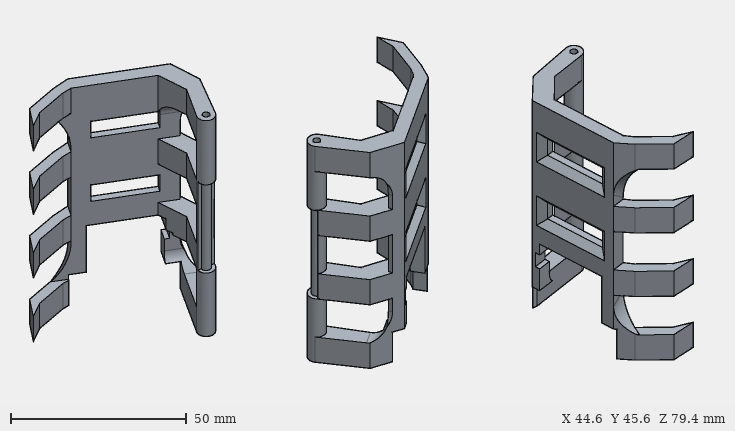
import cadquery as cq
import math

TOTAL_HEIGHT = 79.4
RING_HEIGHT = 9.3
RING_COUNT = 4
RING_PITCH = (TOTAL_HEIGHT - RING_HEIGHT) / (RING_COUNT - 1)
GAP_HEIGHT = RING_PITCH - RING_HEIGHT
REACH = 100.0
CLEARANCE = 1.0

TIP = (5.5, 0.0)
HOOK_OUTER_LOW = (0.0, 5.6)
HOOK_OUTER_HIGH = (0.0, 16.7)
PLATE_OUTER_LOW = (0.7, 22.7)
PLATE_OUTER_HIGH = (20.0, 45.59)
ARM_OUTER = (30.8, 45.2)
ARM_INNER = (30.64, 39.1)
HOOK_INNER_HIGH = (3.4, 16.8)
HOOK_INNER_LOW = (3.4, 5.8)
PLATE_THICKNESS = 4.3
PLATE_INNER_START = 0.0
PLATE_INNER_END = 25.4

HINGE_CENTRE = (41.77, 33.45)
KNUCKLE_RADIUS = 2.78
LOWER_KNUCKLE_TOP = RING_PITCH
UPPER_KNUCKLE_BOTTOM = 55.8
PIN_RADIUS = 1.6
HINGE_HOLE_RADIUS = 1.1
HINGE_CUT_ANGLE = 69.0

PLATE_FILLET = 5.2
ARM_FILLET = 9.0
HOOK_FILLET = 14.8
HOOK_FILLET_GROWTH = 0.85
HOOK_FILLET_OVERRUN = 4.9
FILLET_SPAN = 12.0

WINDOW_START = 3.35
WINDOW_LENGTH = 25.0
WINDOW_HEIGHT = 10.85
WINDOW_TAPER = 2.43
WINDOW_TAPER_DEPTH = 2.0

SLOT_START = 4.45
SLOT_END = 27.2
SLOT_TOP = 28.0
NOTCH_DEPTH = 1.55
NOTCH_BOTTOM = 18.9
NOTCH_TOP = 24.0
FOOT_CUT_TOP = 10.9
FOOT_CUT_START = -0.73
END_FACE_ANGLE = 121.0


def direction(angle):
    """Unit vector in plan at an angle in degrees from +X."""
    return (math.cos(math.radians(angle)), math.sin(math.radians(angle)))


def along(point, step, distance):
    """Point at a distance from another along a unit vector in plan."""
    return (point[0] + step[0] * distance, point[1] + step[1] * distance)


def angle_between(start, end):
    """Direction in degrees from one plan point to another."""
    return math.degrees(math.atan2(end[1] - start[1], end[0] - start[0]))


PLATE_ANGLE = angle_between(PLATE_OUTER_LOW, PLATE_OUTER_HIGH)
PLATE_ALONG = direction(PLATE_ANGLE)
PLATE_INWARD = direction(PLATE_ANGLE - 90)


def plate_point(distance, depth):
    """Plan point at a distance along the plate and a depth below its outer face."""
    return along(along(PLATE_OUTER_LOW, PLATE_ALONG, distance), PLATE_INWARD, depth)


def knuckle_tangent(point, side):
    """Where the tangent from a point touches the knuckle; side is +1 (outer) or -1 (inner)."""
    distance = math.dist(point, HINGE_CENTRE)
    spread = math.degrees(math.acos(KNUCKLE_RADIUS / distance))
    return along(HINGE_CENTRE, direction(angle_between(HINGE_CENTRE, point) - side * spread), KNUCKLE_RADIUS)


def plate_end_corner():
    """Where the inner faces of the plate and of the arm meet when both are extended."""
    arm = direction(angle_between(ARM_INNER, knuckle_tangent(ARM_INNER, -1)))
    start = plate_point(0, PLATE_THICKNESS)
    offset = (start[0] - ARM_INNER[0]) * PLATE_INWARD[0] + (start[1] - ARM_INNER[1]) * PLATE_INWARD[1]
    rate = arm[0] * PLATE_INWARD[0] + arm[1] * PLATE_INWARD[1]
    return along(ARM_INNER, arm, offset / rate)


PLATE_INNER_LOW = plate_point(PLATE_INNER_START, PLATE_THICKNESS)
PLATE_INNER_HIGH = plate_point(PLATE_INNER_END, PLATE_THICKNESS)
PLATE_END = plate_end_corner()
END_FACE = direction(END_FACE_ANGLE)


def cylinder(radius, bottom, top):
    """Upright cylinder on the hinge axis."""
    return cq.Workplane(origin=(*HINGE_CENTRE, bottom)).circle(radius).extrude(top - bottom)


def prism(points, bottom, top):
    """Upright prism over a plan outline."""
    return cq.Workplane(origin=(0, 0, bottom)).polyline(points).close().extrude(top - bottom)


def clip_body():
    """Full-height extrusion of the clip profile, before the gaps are cut."""
    profile = [
        TIP,
        HOOK_OUTER_LOW,
        HOOK_OUTER_HIGH,
        PLATE_OUTER_LOW,
        PLATE_OUTER_HIGH,
        ARM_OUTER,
        knuckle_tangent(ARM_OUTER, 1),
        HINGE_CENTRE,
        knuckle_tangent(ARM_INNER, -1),
        ARM_INNER,
        PLATE_INNER_HIGH,
        PLATE_INNER_LOW,
        HOOK_INNER_HIGH,
        HOOK_INNER_LOW,
    ]
    return prism(profile, 0, TOTAL_HEIGHT)


def fillet_profile(plane, up, radius):
    """Corner between a vertical face (local Y) and a ring face (local X), filled to a radius."""
    middle = radius * (1 - math.sqrt(0.5))
    return (
        cq.Workplane(plane)
        .moveTo(-radius, -up * radius)
        .lineTo(0, -up * radius)
        .threePointArc((middle, -up * middle), (radius, 0))
        .lineTo(radius, up * radius)
        .lineTo(-radius, up * radius)
        .close()
        .wire()
        .val()
    )


def gap_cut(corner, away, bottom, rounded, radius, growth=0.0, overrun=0.0):
    """Cut filling one gap on the side of a vertical face that `away` (degrees) points to.

    The face passes through `corner`. `rounded` is +1 or -1 when the corner between the face and
    the ring above or below has a radius, and 0 when both are sharp. The radius changes by `growth`
    per millimetre along the corner, and `overrun` moves its end into the ring.
    """
    outward = direction(away)
    sideways = direction(away + 90)
    level = bottom + GAP_HEIGHT / 2
    box = cq.Workplane(cq.Plane((*corner, level), (*outward, 0), (*sideways, 0)))
    gap = box.center(REACH / 2, 0).rect(REACH, GAP_HEIGHT).extrude(REACH / 2, both=True)
    if not rounded:
        return gap
    radius_end = level + rounded * (GAP_HEIGHT / 2 + overrun)
    profiles = []
    for offset in (-FILLET_SPAN, FILLET_SPAN):
        origin = (*along(corner, sideways, offset), radius_end)
        plane = cq.Plane(origin, (*outward, 0), (*sideways, 0))
        profiles.append(fillet_profile(plane, -rounded, radius + growth * offset))
    return gap.cut(cq.Workplane(cq.Solid.makeLoft(profiles, True)))


def cut_gap(body, index):
    """Open the gap above ring number `index`, leaving only the plate and its rounded ends."""
    bottom = index * RING_PITCH + RING_HEIGHT
    rounded = {0: -1, RING_COUNT - 2: 1}.get(index, 0)
    hook_side = angle_between(PLATE_OUTER_LOW, PLATE_INNER_LOW) - 90
    hook_radius = (HOOK_FILLET, HOOK_FILLET_GROWTH, HOOK_FILLET_OVERRUN)
    body = body.cut(gap_cut(PLATE_INNER_HIGH, PLATE_ANGLE - 90, bottom, rounded, PLATE_FILLET))
    body = body.cut(gap_cut(PLATE_END, END_FACE_ANGLE - 90, bottom, rounded, ARM_FILLET))
    return body.cut(gap_cut(PLATE_OUTER_LOW, hook_side, bottom, rounded, *hook_radius))


def plate_box(start, end, bottom, top):
    """Cut square to the plate, right through it, between two distances along it."""
    depth = 3 * PLATE_THICKNESS
    outline = [
        plate_point(start, -CLEARANCE),
        plate_point(start, depth),
        plate_point(end, depth),
        plate_point(end, -CLEARANCE),
    ]
    return prism(outline, bottom, top)


def window_cut(level):
    """Window through the plate at a Z level: a tapered mouth, then a straight opening."""
    middle = plate_point(WINDOW_START + WINDOW_LENGTH / 2, 0)
    plane = cq.Plane((*middle, level), (*PLATE_ALONG, 0), (*PLATE_INWARD, 0))
    length = WINDOW_LENGTH - 2 * WINDOW_TAPER
    height = WINDOW_HEIGHT - 2 * WINDOW_TAPER
    opening = cq.Workplane(plane).rect(length, height).extrude(PLATE_THICKNESS * 2)
    mouth = (
        cq.Workplane(plane)
        .rect(WINDOW_LENGTH, WINDOW_HEIGHT)
        .workplane(offset=WINDOW_TAPER_DEPTH)
        .rect(length, height)
        .loft(ruled=True)
    )
    return opening.union(mouth)


def foot_cut():
    """Removes the plate from the lowest ring, leaving the hook and the arm."""
    outline = [
        plate_point(FOOT_CUT_START, -CLEARANCE),
        plate_point(FOOT_CUT_START, 2 * PLATE_THICKNESS),
        ARM_INNER,
        PLATE_END,
        along(PLATE_END, END_FACE, 2 * PLATE_THICKNESS),
    ]
    return prism(outline, 0, FOOT_CUT_TOP)


def hinge_cut():
    """Half-plane cut beside the hinge pin, between the two knuckles."""
    face = direction(HINGE_CUT_ANGLE)
    away = direction(HINGE_CUT_ANGLE - 90)
    reach = 2 * KNUCKLE_RADIUS
    low = along(HINGE_CENTRE, face, -reach)
    high = along(HINGE_CENTRE, face, reach)
    outline = [low, high, along(high, away, reach), along(low, away, reach)]
    return prism(outline, LOWER_KNUCKLE_TOP, UPPER_KNUCKLE_BOTTOM)


body = clip_body()
for gap_index in range(RING_COUNT - 1):
    body = cut_gap(body, gap_index)

for gap_index in range(1, RING_COUNT - 1):
    body = body.cut(window_cut(gap_index * RING_PITCH + RING_HEIGHT + GAP_HEIGHT / 2))

body = body.cut(plate_box(SLOT_START, SLOT_END, 0, SLOT_TOP))
body = body.cut(plate_box(SLOT_START, SLOT_END + NOTCH_DEPTH, NOTCH_BOTTOM, NOTCH_TOP))
body = body.cut(foot_cut())

body = body.union(cylinder(KNUCKLE_RADIUS, 0, TOTAL_HEIGHT))
body = body.cut(hinge_cut())
body = body.union(cylinder(PIN_RADIUS, LOWER_KNUCKLE_TOP, UPPER_KNUCKLE_BOTTOM))
result = body.cut(cylinder(HINGE_HOLE_RADIUS, UPPER_KNUCKLE_BOTTOM, TOTAL_HEIGHT))